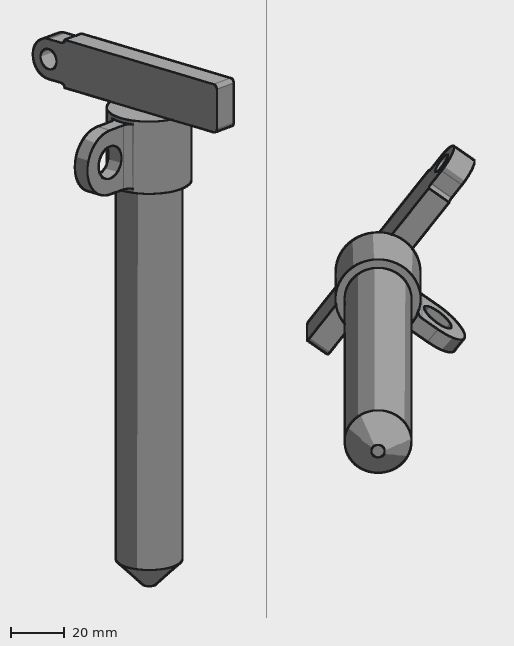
import cadquery as cq
import math

rod_diameter = 25.0
rod_length = 160.0
point_length = 10.0

collar_diameter = 31.75
collar_height = 28.575

bar_half_length = 38.1
bar_height = 19.05
bar_thickness = 9.525
bar_end_radius = 1.5875

eye_diameter = 15.875
eye_hole_diameter = eye_diameter / 2
eye_tip_x = -53.975

lug_width = 25.4
lug_thickness = 6.35
lug_hole_diameter = lug_width / 2
lug_hole_y = -25.4
lug_root_radius = 3.175

collar_radius = collar_diameter / 2
collar_mid_z = collar_height / 2
bar_mid_z = collar_height + bar_height / 2
eye_radius = eye_diameter / 2
eye_x = eye_tip_x + eye_radius
eye_step = (bar_height - eye_diameter) / 2


def cylinder_along_y(x, z, diameter, length):
    """Cylinder parallel to Y, centred on Y = 0."""
    return (
        cq.Workplane("XZ", origin=(x, 0, z))
        .circle(diameter / 2)
        .extrude(length / 2, both=True)
    )


def make_rod():
    """Round rod below the collar with a conical, flat-ended point."""
    return (
        cq.Workplane("XY")
        .circle(rod_diameter / 2)
        .extrude(-rod_length)
        .faces("<Z")
        .chamfer(point_length)
    )


def make_collar():
    return cq.Workplane("XY").circle(collar_radius).extrude(collar_height)


def make_bar():
    """Flat cross bar on the collar, with a narrower drilled eye on its -X end."""
    bar = (
        cq.Workplane("XY", origin=(0, 0, bar_mid_z))
        .box(2 * bar_half_length, bar_thickness, bar_height)
        .edges(">X and |Y")
        .fillet(bar_end_radius)
    )
    half_tab = eye_radius
    half_bar = bar_height / 2
    blend_start_x = -bar_half_length - eye_step
    blend_mid_x = blend_start_x + eye_step * math.sin(math.pi / 4)
    blend_mid_z = half_bar - eye_step * math.cos(math.pi / 4)
    tab = (
        cq.Workplane("XZ", origin=(0, 0, bar_mid_z))
        .moveTo(eye_x, half_tab)
        .lineTo(blend_start_x, half_tab)
        .threePointArc((blend_mid_x, blend_mid_z), (-bar_half_length, half_bar))
        .lineTo(-bar_half_length, -half_bar)
        .threePointArc((blend_mid_x, -blend_mid_z), (blend_start_x, -half_tab))
        .lineTo(eye_x, -half_tab)
        .threePointArc((eye_tip_x, 0), (eye_x, half_tab))
        .close()
        .extrude(bar_thickness / 2, both=True)
    )
    hole = cylinder_along_y(eye_x, bar_mid_z, eye_hole_diameter, bar_thickness)
    return bar.union(tab).cut(hole)


def make_lug():
    """Drilled lug on the -Y side of the collar."""
    return (
        cq.Workplane("YZ", origin=(0, 0, collar_mid_z))
        .moveTo(0, lug_width / 2)
        .lineTo(lug_hole_y, lug_width / 2)
        .threePointArc((lug_hole_y - lug_width / 2, 0), (lug_hole_y, -lug_width / 2))
        .lineTo(0, -lug_width / 2)
        .close()
        .moveTo(lug_hole_y, 0)
        .circle(lug_hole_diameter / 2)
        .extrude(lug_thickness / 2, both=True)
    )


def make_lug_root():
    """Concave blends, as tall as the lug, tangent to the lug sides and to the collar."""
    center_x = lug_thickness / 2 + lug_root_radius
    center_distance = collar_radius + lug_root_radius
    center_y = -math.sqrt(center_distance**2 - center_x**2)
    collar_x = center_x * collar_radius / center_distance
    collar_y = center_y * collar_radius / center_distance
    collar_angle = math.atan2(collar_y - center_y, collar_x - center_x)
    mid_angle = (math.pi + collar_angle) / 2
    mid_x = center_x + lug_root_radius * math.cos(mid_angle)
    mid_y = center_y + lug_root_radius * math.sin(mid_angle)
    return (
        cq.Workplane("XY", origin=(0, 0, collar_mid_z))
        .moveTo(0, 0)
        .lineTo(collar_x, collar_y)
        .threePointArc((mid_x, mid_y), (lug_thickness / 2, center_y))
        .lineTo(-lug_thickness / 2, center_y)
        .threePointArc((-mid_x, mid_y), (-collar_x, collar_y))
        .close()
        .extrude(lug_width / 2, both=True)
    )


result = (
    make_rod()
    .union(make_collar())
    .union(make_bar())
    .union(make_lug())
    .union(make_lug_root())
)